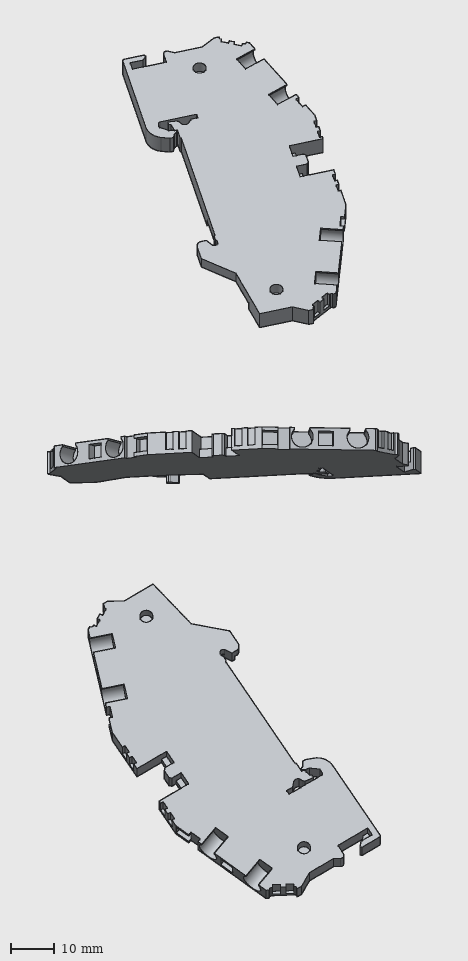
import cadquery as cq
import math

LENGTH = 83.6
HEIGHT = 38.5
THICKNESS = 5.1
MID_X = LENGTH / 2

RIDGE_X = 28.15
SHOULDER_ANGLE = 20.0
SHOULDER_FOOT_X = 3.5
SLOPE_TAN = math.tan(math.radians(SHOULDER_ANGLE))
SHOULDER_FOOT_Y = HEIGHT - (RIDGE_X - SHOULDER_FOOT_X) * SLOPE_TAN

GROOVE_START, GROOVE_END, GROOVE_DEPTH = 3.75, 6.45, 0.85
WIRE_HOLE_POSITIONS = (9.35, 22.2)
WIRE_HOLE_DEPTH = 5.2
WIRE_HOLE_RADIUS = 2.5
WIRE_HOLE_Z = 2.95
WIRE_SLOT_WIDTH = 3.6
PRY_SLOTS = ((0.2, GROOVE_START), (13.1, 16.5))
PRY_SLOT_DEPTH = 2.2
PRY_SLOT_BOTTOM_Z, PRY_SLOT_TOP_Z = 0.95, 4.3

END_NOSE_BOTTOM_Y = 22.05
SIDE_TOP_Y = 18.7
END_FACE_TOP = (3.45, 28.2)
END_FACE_BOTTOM = (0.6, 23.25)

MARKER_LENGTH, MARKER_DEPTH, MARKER_FLOOR_Z = 1.8, 0.7, 1.0
MARKER_PITCH = 3.1
CROWN_MARKER_STARTS = (30.7, 47.15)
END_MARKER_FIRST = 1.35

BRIDGE_CENTRE_X, BRIDGE_WIDTH = 40.1, 9.5
BRIDGE_FLOOR_Y = 30.45
BRIDGE_LEDGE_TOP_Y = 31.85
TAB_WIDTH, TAB_TOP_Y, TAB_CHAMFER = 3.05, 33.45, 0.5

BACK_LAYER = 2.0

TEST_HOLE_RADIUS, TEST_HOLE_Y = 1.5, 16.5
TEST_HOLE_XS = (7.75, 75.65)

RAIL_Y = 7.05
RAIL_LAND_Y = 6.8
HOOK_LEFT_X, HOOK_TIP, HOOK_INNER_X, HOOK_INNER_Y = 0.7, (1.1, 5.5), 4.05, 2.75
HOOK_POCKET_X, HOOK_POCKET_Y = 2.1, 1.5
HOOK_CORNER = 0.25
RAIL_STOP_Y = 9.6
FOOT_NOSE_X = 57.4
FOOT_NOSE_TOP_Y = 4.7
RAIL_NOTCH_CORNER = (59.1, 5.7)
SPRING_SLOT_X, SPRING_SLOT_TOP_Y, SPRING_SLOT_BOTTOM_Y = 20.8, 12.3, 3.0
FOOT_BOTTOM_Y = 2.2
SLOPE_UNDER_LEFT = (68.6, 8.75)
SLOPE_UNDER_RIGHT = (81.6, 10.9)

RELIEF_LEFT_X, RELIEF_RIGHT_X = 49.3, 75.6
RELIEF_LEFT_TOP_Y = 12.5
RELIEF_TOP_Y, RELIEF_TOP_START_X, RELIEF_TOP_END_X = 13.8, 56.5, 67.4
STUB_BOTTOM_Y, STUB_FLAT_END_X = 3.9, 58.8
STUB_SIDE, STUB_TOP = (60.2, 5.0), (59.5, 5.9)


def mirror_point(point):
    """Mirror a point about the centre line of the shoulders."""
    return (LENGTH - point[0], point[1])


def shoulder_point(distance, depth=0.0):
    """Point on the left shoulder: distance down the slope, depth into the body."""
    angle = math.radians(SHOULDER_ANGLE)
    x = RIDGE_X - distance * math.cos(angle) + depth * math.sin(angle)
    y = HEIGHT - distance * math.sin(angle) - depth * math.cos(angle)
    return (x, y)


def flank_points():
    """Left flank from the end nose up to the crown."""
    return [
        (0, END_NOSE_BOTTOM_Y),
        (0, END_FACE_BOTTOM[1]),
        END_FACE_BOTTOM,
        END_FACE_TOP,
        (3.45, 28.6),
        (3.15, 28.9),
        (SHOULDER_FOOT_X, SHOULDER_FOOT_Y),
        shoulder_point(GROOVE_END),
        shoulder_point(GROOVE_END, GROOVE_DEPTH),
        shoulder_point(GROOVE_START, GROOVE_DEPTH),
        shoulder_point(GROOVE_START),
        (RIDGE_X, HEIGHT),
    ]


def polyline(sketch, points):
    for point in points:
        sketch = sketch.lineTo(*point)
    return sketch


def housing():
    """Full-thickness body, traced from the foot of the left hook clockwise."""
    flank = flank_points()
    right_flank = [mirror_point(point) for point in reversed(flank)]
    outline = cq.Workplane("XY").moveTo(HOOK_LEFT_X + HOOK_CORNER, 0)
    outline = polyline(outline, [
        (HOOK_LEFT_X, HOOK_CORNER),
        (HOOK_LEFT_X, 5.15),
        HOOK_TIP,
        (HOOK_INNER_X, HOOK_INNER_Y),
        (HOOK_INNER_X, RAIL_STOP_Y),
        (1.55, RAIL_STOP_Y),
    ])
    outline = outline.threePointArc((0.98, 10.05), (1.05, 10.85))
    outline = polyline(outline, [(1.85, 12.15), (1.85, SIDE_TOP_Y)])
    outline = polyline(outline, flank + right_flank)
    outline = polyline(outline, [
        (SLOPE_UNDER_RIGHT[0], SIDE_TOP_Y),
        SLOPE_UNDER_RIGHT,
        SLOPE_UNDER_LEFT,
        (62.35, FOOT_BOTTOM_Y),
        (58.9, FOOT_BOTTOM_Y),
    ])
    outline = outline.threePointArc((57.85, 2.55), (FOOT_NOSE_X, 3.4))
    outline = polyline(outline, [(FOOT_NOSE_X, FOOT_NOSE_TOP_Y), RAIL_NOTCH_CORNER])
    outline = outline.threePointArc((59.35, 6.5), (58.9, RAIL_Y))
    outline = polyline(outline, [
        (58.1, RAIL_Y),
        (57.9, RAIL_LAND_Y),
        (56.6, RAIL_LAND_Y),
        (56.4, RAIL_Y),
        (26.7, RAIL_Y),
        (26.5, RAIL_LAND_Y),
        (24.1, RAIL_LAND_Y),
        (24.1, 6.15),
        (22.2, 5.75),
        (22.05, 5.3),
        (21.3, 5.3),
        (21.55, 7.5),
    ])
    outline = polyline(outline, [(21.85, 7.8), (22.8, 8.3)])
    outline = outline.threePointArc((23.1, 9.0), (22.8, 9.8))
    outline = polyline(outline, [
        (21.85, 10.7),
        (21.85, SPRING_SLOT_TOP_Y),
        (SPRING_SLOT_X, SPRING_SLOT_TOP_Y),
        (SPRING_SLOT_X, 3.6),
    ])
    outline = outline.threePointArc((20.95, 3.2), (21.35, SPRING_SLOT_BOTTOM_Y))
    outline = polyline(outline, [
        (22.3, SPRING_SLOT_BOTTOM_Y),
        (23.8, 4.9),
        (23.9, 5.7),
        (24.3, 6.5),
        (24.7, 6.55),
        (25.1, 5.85),
        (26.05, 5.3),
        (26.05, 4.5),
        (25.3, 2.6),
    ])
    outline = outline.threePointArc((23.8, 0.75), (21.6, 0))
    return outline.close().extrude(THICKNESS)


def box(x_min, x_max, y_min, y_max, z_min, z_max):
    size = (x_max - x_min, y_max - y_min, z_max - z_min)
    return cq.Workplane("XY").box(*size, centered=False).translate((x_min, y_min, z_min))


def bridge_recess():
    """Recess through the crown with a ledge on the back layer and a full-height tab."""
    left = BRIDGE_CENTRE_X - BRIDGE_WIDTH / 2
    right = BRIDGE_CENTRE_X + BRIDGE_WIDTH / 2
    recess = box(left, right, BRIDGE_FLOOR_Y, HEIGHT, 0, THICKNESS)
    ledge = box(left, right, BRIDGE_FLOOR_Y, BRIDGE_LEDGE_TOP_Y, 0, BACK_LAYER)
    tab_left = BRIDGE_CENTRE_X - TAB_WIDTH / 2
    tab = box(tab_left, tab_left + TAB_WIDTH, BRIDGE_FLOOR_Y, TAB_TOP_Y, 0, THICKNESS)
    tab = tab.faces(">Y").edges("|Z").chamfer(TAB_CHAMFER)
    return recess.cut(ledge).cut(tab)


def place_on_left_shoulder(tool):
    """Move a tool with +X up the slope and +Y outward onto the left shoulder's ridge."""
    return tool.rotate((0, 0, 0), (0, 0, 1), SHOULDER_ANGLE).translate((RIDGE_X, HEIGHT, 0))


def shoulder_cuts():
    """Wire holes and pry slots of the left shoulder."""
    cuts = cq.Workplane("XY")
    for distance in WIRE_HOLE_POSITIONS:
        hole = cq.Workplane("XZ", origin=(-distance, 0, WIRE_HOLE_Z))
        hole = hole.circle(WIRE_HOLE_RADIUS).extrude(WIRE_HOLE_DEPTH)
        half_slot = WIRE_SLOT_WIDTH / 2
        slot = box(-distance - half_slot, -distance + half_slot, -WIRE_HOLE_DEPTH, 0,
                   WIRE_HOLE_Z, THICKNESS)
        cuts = cuts.add(hole.union(slot))
    for start, end in PRY_SLOTS:
        cuts = cuts.add(box(-end, -start, -PRY_SLOT_DEPTH, 0, PRY_SLOT_BOTTOM_Z, PRY_SLOT_TOP_Z))
    return place_on_left_shoulder(cuts.combine())


def marker_pair(first_centre):
    """Two marker notches under the X axis, a pitch apart."""
    pair = cq.Workplane("XY")
    for index in range(2):
        left = first_centre + index * MARKER_PITCH - MARKER_LENGTH / 2
        pair = pair.add(box(left, left + MARKER_LENGTH, -MARKER_DEPTH, MARKER_DEPTH,
                            MARKER_FLOOR_Z, THICKNESS))
    return pair.combine()


def end_markers():
    """Marker notches of the left end face."""
    rise = END_FACE_TOP[1] - END_FACE_BOTTOM[1]
    run = END_FACE_TOP[0] - END_FACE_BOTTOM[0]
    angle = math.degrees(math.atan2(rise, run))
    pair = marker_pair(END_MARKER_FIRST).rotate((0, 0, 0), (0, 0, 1), angle)
    return pair.translate((*END_FACE_BOTTOM, 0))


def hook_pocket():
    """Pocket behind the tip of the left hook, down to the back layer."""
    return box(HOOK_POCKET_X, HOOK_INNER_X, HOOK_POCKET_Y, HOOK_TIP[1], BACK_LAYER, THICKNESS)


def foot_stub():
    """Stub hanging below the nose of the right foot, rounded on its far side."""
    stub = polyline(cq.Workplane("XY").moveTo(*RAIL_NOTCH_CORNER), [
        (FOOT_NOSE_X, FOOT_NOSE_TOP_Y),
        (FOOT_NOSE_X, STUB_BOTTOM_Y),
        (STUB_FLAT_END_X, STUB_BOTTOM_Y),
    ])
    return stub.threePointArc(STUB_SIDE, STUB_TOP).close().extrude(BACK_LAYER)


def foot_relief():
    """Relief under the rail seat and the right foot, leaving the stub below the nose."""
    slope = (SLOPE_UNDER_RIGHT[1] - SLOPE_UNDER_LEFT[1]) / (SLOPE_UNDER_RIGHT[0] - SLOPE_UNDER_LEFT[0])
    right_y = SLOPE_UNDER_LEFT[1] + (RELIEF_RIGHT_X - SLOPE_UNDER_LEFT[0]) * slope
    relief = polyline(cq.Workplane("XY").moveTo(RELIEF_LEFT_X, 0), [
        (RELIEF_LEFT_X, RELIEF_LEFT_TOP_Y),
        (RELIEF_TOP_START_X, RELIEF_TOP_Y),
        (RELIEF_TOP_END_X, RELIEF_TOP_Y),
        (RELIEF_RIGHT_X, right_y),
        (RELIEF_RIGHT_X, 0),
    ])
    return relief.close().extrude(BACK_LAYER).cut(foot_stub())


def test_holes():
    """Blind holes at both ends, down to the back layer."""
    holes = cq.Workplane("XY").workplane(offset=BACK_LAYER)
    holes = holes.pushPoints([(x, TEST_HOLE_Y) for x in TEST_HOLE_XS])
    return holes.circle(TEST_HOLE_RADIUS).extrude(THICKNESS - BACK_LAYER)


result = housing().cut(bridge_recess())
for side_cuts in (shoulder_cuts(), end_markers()):
    result = result.cut(side_cuts)
    result = result.cut(side_cuts.mirror("YZ", (MID_X, 0, 0)))
for first_centre in CROWN_MARKER_STARTS:
    result = result.cut(marker_pair(first_centre).translate((0, HEIGHT, 0)))
result = result.cut(hook_pocket()).cut(foot_relief()).cut(test_holes())